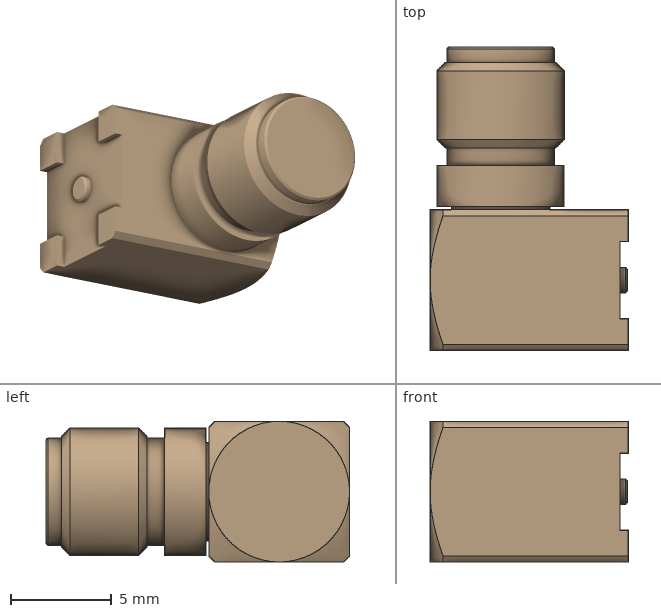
import cadquery as cq


body_width = 7.0
body_length = 9.86
edge_chamfer = 0.3
face_cone_depth = 0.64
half_width = body_width / 2
back_x = -half_width
mount_x = back_x + body_length

slot_width = 3.82
slot_depth = 0.41
slot_floor_x = mount_x - slot_depth

pin_diameter = 1.27
pin_length = 0.36
pin_chamfer = 0.1

neck_diameter = 4.9
collar_diameter = 6.33
groove_diameter = 5.35
sleeve_diameter = 6.35
nose_diameter = groove_diameter

neck_length = 0.15
collar_length = 2.05
groove_length = 0.87
sleeve_chamfer = 0.43
sleeve_length = 3.4
barrel_end_y = 11.6
nose_chamfer = 0.1


def make_body():
    """Square bar with chamfered long edges and conically trimmed back corners."""
    bar = (
        cq.Workplane("YZ")
        .workplane(offset=back_x)
        .rect(body_width, body_width)
        .extrude(body_length)
        .edges("|X")
        .chamfer(edge_chamfer)
    )
    corner_radius = (half_width**2 + (half_width - edge_chamfer) ** 2) ** 0.5
    envelope = (
        cq.Workplane("XY")
        .moveTo(back_x, 0)
        .lineTo(back_x, half_width)
        .lineTo(back_x + face_cone_depth, corner_radius)
        .lineTo(back_x + face_cone_depth, body_width)
        .lineTo(mount_x, body_width)
        .lineTo(mount_x, 0)
        .close()
        .revolve(360, (0, 0, 0), (1, 0, 0))
    )
    return bar.intersect(envelope)


def make_slots():
    """Two crossed slots, one along Y and one along Z."""
    slot_center = (slot_floor_x + slot_depth / 2, 0, 0)
    slot_along_y = cq.Workplane("XY", origin=slot_center).box(slot_depth, body_width, slot_width)
    slot_along_z = cq.Workplane("XY", origin=slot_center).box(slot_depth, slot_width, body_width)
    return slot_along_y.union(slot_along_z)


def make_pin():
    """Contact pin with a chamfered tip."""
    return (
        cq.Workplane("YZ")
        .workplane(offset=slot_floor_x)
        .circle(pin_diameter / 2)
        .extrude(pin_length)
        .faces(">X")
        .chamfer(pin_chamfer)
    )


def make_barrel():
    """Turned barrel: neck, collar, groove, chamfered sleeve and nose."""
    neck_end = half_width + neck_length
    collar_end = neck_end + collar_length
    groove_end = collar_end + groove_length
    sleeve_start = groove_end + sleeve_chamfer
    sleeve_end = sleeve_start + sleeve_length
    nose_start = sleeve_end + sleeve_chamfer
    shoulder_radius = sleeve_diameter / 2 - sleeve_chamfer
    return (
        cq.Workplane("XY")
        .moveTo(0, 0)
        .lineTo(neck_diameter / 2, 0)
        .lineTo(neck_diameter / 2, neck_end)
        .lineTo(collar_diameter / 2, neck_end)
        .lineTo(collar_diameter / 2, collar_end)
        .lineTo(groove_diameter / 2, collar_end)
        .lineTo(groove_diameter / 2, groove_end)
        .lineTo(shoulder_radius, groove_end)
        .lineTo(sleeve_diameter / 2, sleeve_start)
        .lineTo(sleeve_diameter / 2, sleeve_end)
        .lineTo(shoulder_radius, nose_start)
        .lineTo(nose_diameter / 2, nose_start)
        .lineTo(nose_diameter / 2, barrel_end_y - nose_chamfer)
        .lineTo(nose_diameter / 2 - nose_chamfer, barrel_end_y)
        .lineTo(0, barrel_end_y)
        .close()
        .revolve(360, (0, 0, 0), (0, 1, 0))
    )


result = make_body().cut(make_slots()).union(make_pin()).union(make_barrel())